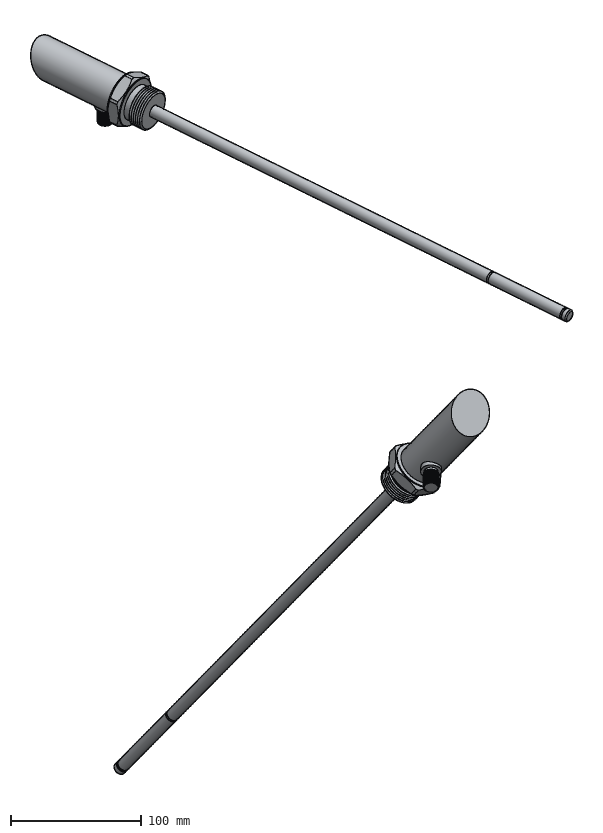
import cadquery as cq
import math


tube_diameter = 32.99
tube_radius = tube_diameter / 2
slant_angle = 28.0
slant_length = tube_diameter * math.tan(math.radians(slant_angle))

hex_start = 82.0
hex_rim_length = 1.0
hex_length = 12.5
hex_end = hex_start + hex_length
hex_across_flats = 41.0
hex_across_corners = hex_across_flats / math.cos(math.radians(30))
hex_turned_diameter = 46.0
hex_face_diameter = 40.0
hex_chamfer_angle = 30.0
hex_chamfer_length = (
    (hex_turned_diameter - hex_face_diameter) / 2 * math.tan(math.radians(hex_chamfer_angle))
)

neck_length = 5.0
thread_diameter = tube_diameter
thread_root_diameter = 29.9
thread_pitch = 2.0
thread_ridges = 6
thread_start = hex_end + neck_length
thread_end = thread_start + thread_ridges * thread_pitch

rod_diameter = 10.0
rod_end = 510.98
rod_tip_diameter = 8.0
rod_tip_chamfer = (rod_diameter - rod_tip_diameter) / 2
rod_socket_depth = 10.0
rod_groove_width = 1.5
rod_grooves = [
    (434.7, 9.5),
    (505.0, 9.0),
]

connector_x = 65.0
connector_bottom = -35.0
connector_collar_diameter = 16.0
connector_collar_bottom = -19.0
connector_top = -12.0
connector_thread_diameter = 12.0
connector_root_diameter = 10.8
connector_undercut_length = 2.0
connector_thread_pitch = 1.0
connector_thread_top = connector_collar_bottom - connector_undercut_length
connector_ridges = round((connector_thread_top - connector_bottom) / connector_thread_pitch)


def cylinder_along_x(start, end, diameter):
    return cq.Workplane("YZ", origin=(start, 0, 0)).circle(diameter / 2).extrude(end - start)


def ridge_points(start, pitch, ridges, root_radius, crest_radius):
    """Zigzag of (place along the axis, radius) pairs for evenly spaced V-shaped thread ridges."""
    points = [(start, root_radius)]
    for ridge in range(ridges):
        ridge_start = start + ridge * pitch
        points.append((ridge_start + pitch / 2, crest_radius))
        points.append((ridge_start + pitch, root_radius))
    return points


def make_tube():
    tube = cylinder_along_x(0, hex_start, tube_diameter)
    waste = (
        cq.Workplane("XZ")
        .polyline([(0, tube_radius), (slant_length, -tube_radius), (0, -tube_radius)])
        .close()
        .extrude(tube_radius, both=True)
    )
    return tube.cut(waste)


def make_hexagon():
    hexagon = (
        cq.Workplane("YZ", origin=(hex_start, 0, 0))
        .transformed(rotate=(0, 0, 90))
        .polygon(6, hex_across_corners)
        .extrude(hex_length)
    )
    face_radius = hex_face_diameter / 2
    turned_radius = hex_turned_diameter / 2
    front_step = hex_start + hex_rim_length
    back_step = hex_end - hex_rim_length
    turned_blank = (
        cq.Workplane("XZ")
        .polyline(
            [
                (hex_start, 0),
                (hex_start, face_radius),
                (front_step, face_radius),
                (front_step + hex_chamfer_length, turned_radius),
                (back_step - hex_chamfer_length, turned_radius),
                (back_step, face_radius),
                (hex_end, face_radius),
                (hex_end, 0),
            ]
        )
        .close()
        .revolve(360, (0, 0, 0), (1, 0, 0))
    )
    return hexagon.intersect(turned_blank)


def make_thread():
    ridges = ridge_points(
        thread_start, thread_pitch, thread_ridges, thread_root_diameter / 2, thread_diameter / 2
    )
    return (
        cq.Workplane("XZ")
        .polyline([(hex_end, 0), (hex_end, thread_root_diameter / 2), *ridges, (thread_end, 0)])
        .close()
        .revolve(360, (0, 0, 0), (1, 0, 0))
    )


def make_rod():
    rod_start = thread_end - rod_socket_depth
    rod = cylinder_along_x(rod_start, rod_end, rod_diameter).faces(">X").chamfer(rod_tip_chamfer)
    for groove_start, root_diameter in rod_grooves:
        groove_end = groove_start + rod_groove_width
        ring = cylinder_along_x(groove_start, groove_end, rod_diameter).cut(
            cylinder_along_x(groove_start, groove_end, root_diameter)
        )
        rod = rod.cut(ring)
    return rod


def make_connector():
    root_radius = connector_root_diameter / 2
    collar_radius = connector_collar_diameter / 2
    ridges = ridge_points(
        connector_bottom,
        connector_thread_pitch,
        connector_ridges,
        root_radius,
        connector_thread_diameter / 2,
    )
    outline = [
        (0, connector_bottom),
        *[(radius, height) for height, radius in ridges],
        (root_radius, connector_collar_bottom),
        (collar_radius, connector_collar_bottom),
        (collar_radius, connector_top),
        (0, connector_top),
    ]
    return (
        cq.Workplane("XZ", origin=(connector_x, 0, 0))
        .polyline(outline)
        .close()
        .revolve(360, (0, 0, 0), (0, 1, 0))
    )


rod = make_rod()
connector = make_connector()
housing = make_tube().union(make_hexagon()).union(make_thread()).cut(rod).cut(connector)

result = cq.Compound.makeCompound([housing.val(), rod.val(), connector.val()])